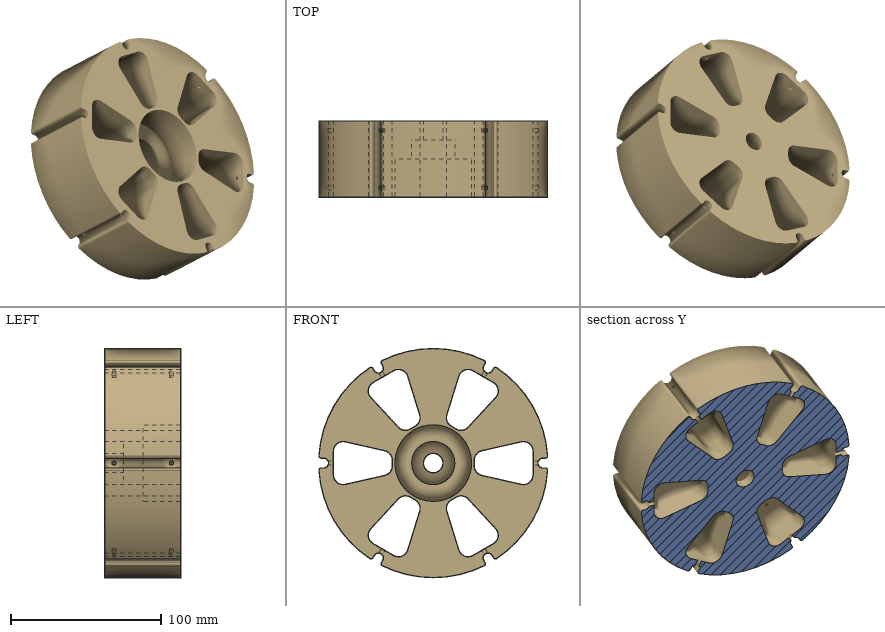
import cadquery as cq
import math

wheel_radius = 76.2
wheel_width = 50.7
slot_count = 6

recess_radius = 25.5
recess_depth = wheel_width / 2
step_radius = 14.3
step_depth = 12.6
shaft_radius = 6.4

window_inner = 27.3
window_outer = 66.3
window_inner_half = 7.0
window_outer_half = 15.8
window_corner_radius = 6.4

slot_half_width = 3.2
slot_bottom = 69.6
lip_radius = 1.5

screw_hole_diameter = 2.7
screw_hole_spacing = 38.1

slot_center = slot_bottom + slot_half_width
front_face = -wheel_width / 2


def axial_cylinder(radius, start, depth):
    """Cylinder about the wheel axis, running toward +Y from the given Y."""
    return cq.Workplane("XZ", origin=(0, start, 0)).circle(radius).extrude(-depth)


def around_wheel(body):
    """Copies of a body at every slot position around the wheel axis."""
    step = 360 / slot_count
    return [body.rotate((0, 0, 0), (0, 1, 0), i * step) for i in range(slot_count)]


def window():
    return (
        cq.Workplane("XZ", origin=(0, front_face, 0))
        .moveTo(window_inner, -window_inner_half)
        .lineTo(window_outer, -window_outer_half)
        .lineTo(window_outer, window_outer_half)
        .lineTo(window_inner, window_inner_half)
        .close()
        .extrude(-wheel_width)
        .edges("|Y")
        .fillet(window_corner_radius)
    )


def rim_slot():
    """Slot whose lips flare in arcs tangent to its walls and to the wheel rim."""
    lip_height = slot_half_width + lip_radius
    lip_center = math.sqrt((wheel_radius - lip_radius) ** 2 - lip_height**2)
    rim_scale = wheel_radius / (wheel_radius - lip_radius)
    rim_x = lip_center * rim_scale
    rim_z = lip_height * rim_scale
    middle_angle = (math.atan2(lip_height, lip_center) - math.pi / 2) / 2
    middle_x = lip_center + lip_radius * math.cos(middle_angle)
    middle_z = lip_height + lip_radius * math.sin(middle_angle)
    return (
        cq.Workplane("XZ", origin=(0, front_face, 0))
        .moveTo(slot_center, -slot_half_width)
        .lineTo(lip_center, -slot_half_width)
        .threePointArc((middle_x, -middle_z), (rim_x, -rim_z))
        .lineTo(wheel_radius + lip_radius, -rim_z)
        .lineTo(wheel_radius + lip_radius, rim_z)
        .lineTo(rim_x, rim_z)
        .threePointArc((middle_x, middle_z), (lip_center, slot_half_width))
        .lineTo(slot_center, slot_half_width)
        .threePointArc((slot_bottom, 0), (slot_center, -slot_half_width))
        .close()
        .extrude(-wheel_width)
    )


def screw_holes():
    window_middle = (window_inner + window_outer) / 2
    return (
        cq.Workplane("YZ", origin=(window_middle, 0, 0))
        .pushPoints([(-screw_hole_spacing / 2, 0), (screw_hole_spacing / 2, 0)])
        .circle(screw_hole_diameter / 2)
        .extrude(slot_center - window_middle)
    )


result = axial_cylinder(wheel_radius, front_face, wheel_width)
result = result.cut(axial_cylinder(recess_radius, front_face, recess_depth))
result = result.cut(axial_cylinder(step_radius, front_face, recess_depth + step_depth))
result = result.cut(axial_cylinder(shaft_radius, front_face, wheel_width))

for feature in (window(), rim_slot(), screw_holes()):
    for cutter in around_wheel(feature):
        result = result.cut(cutter)